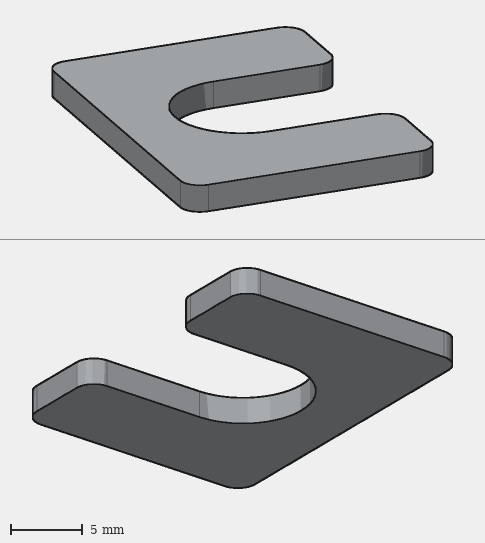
import cadquery as cq

length = 25.4
width = 19.05
thickness = 2.0
corner_radius = 1.5

slot_width = 10.15
slot_floor_wall = 4.4

slot_radius = slot_width / 2
back_edge = width / 2
slot_center_y = -width / 2 + slot_floor_wall + slot_radius

plate = cq.Workplane("XY").box(length, width, thickness)

slot = (
    cq.Workplane("XY")
    .moveTo(-slot_radius, back_edge)
    .lineTo(-slot_radius, slot_center_y)
    .threePointArc((0, slot_center_y - slot_radius), (slot_radius, slot_center_y))
    .lineTo(slot_radius, back_edge)
    .close()
    .extrude(thickness / 2, both=True)
)

outer_corners = "|Z and (<X or >X)"
mouth_corners = "|Z and >Y"
result = plate.cut(slot).edges(f"({outer_corners}) or ({mouth_corners})").fillet(corner_radius)